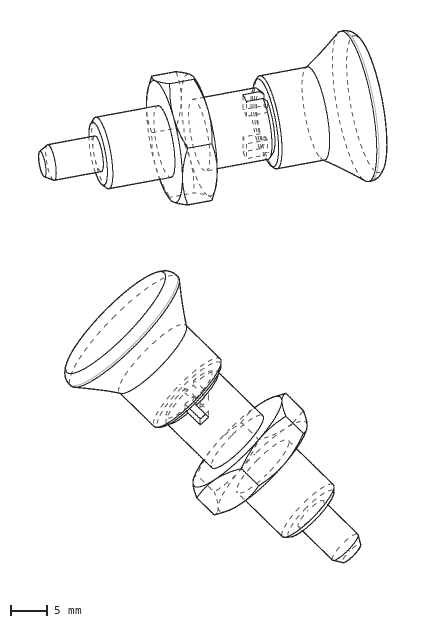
import cadquery as cq
import math


KNOB_DIAMETER = 21.0
KNOB_LENGTH = 14.5
RIM_ROUND_LENGTH = 1.45
RIM_ROUND_DROP = 0.95
RIM_END = 1.75
FLARE_END = 7.3
FLARE_SAGITTA = 0.08
COLLAR_DIAMETER = 13.0
COLLAR_CHAMFER = 0.38

SLEEVE_DIAMETER = 10.0
SLEEVE_LENGTH = 24.0
SLEEVE_CHAMFER = 0.6

SLOT_WIDTH = 1.6
SLOT_LENGTH = 3.0

PIN_DIAMETER = 5.0
PIN_PROJECTION = 8.0
PIN_TIP_LENGTH = 1.25
PIN_TIP_ANGLE = 30.0

NUT_SIDES = 6
NUT_ACROSS_FLATS = 17.0
NUT_THICKNESS = 5.0
NUT_START = 24.0
NUT_CHAMFER_ANGLE = 30.0

SLEEVE_END = KNOB_LENGTH + SLEEVE_LENGTH
PIN_END = SLEEVE_END + PIN_PROJECTION
HALF_SECTOR = 180.0 / NUT_SIDES
NUT_ACROSS_CORNERS = NUT_ACROSS_FLATS / math.cos(math.radians(HALF_SECTOR))


def revolve_about_y(profile):
    """Revolve a closed (radius, y) profile a full turn about the Y axis."""
    return profile.revolve(360, (0, 0, 0), (0, 1, 0))


def make_rod(diameter, start, end):
    """Cylinder on the Y axis between two axial positions."""
    plane = cq.Workplane("XZ", origin=(0, -start, 0))
    return plane.circle(diameter / 2).extrude(end - start)


def make_knob():
    """Knob with a rounded rim, a flared neck and a chamfered cylindrical collar."""
    rim_radius = KNOB_DIAMETER / 2
    collar_radius = COLLAR_DIAMETER / 2
    round_radius = (RIM_ROUND_LENGTH**2 + RIM_ROUND_DROP**2) / (2 * RIM_ROUND_DROP)
    flare_length = FLARE_END - RIM_END
    flare_drop = rim_radius - collar_radius
    flare_slant = math.hypot(flare_length, flare_drop)
    flare_middle = (
        (rim_radius + collar_radius) / 2 - FLARE_SAGITTA * flare_length / flare_slant,
        -(RIM_END + FLARE_END) / 2 + FLARE_SAGITTA * flare_drop / flare_slant,
    )
    profile = (
        cq.Workplane("XY")
        .lineTo(rim_radius - RIM_ROUND_DROP, 0)
        .radiusArc((rim_radius, -RIM_ROUND_LENGTH), round_radius)
        .lineTo(rim_radius, -RIM_END)
        .threePointArc(flare_middle, (collar_radius, -FLARE_END))
        .lineTo(collar_radius, -KNOB_LENGTH + COLLAR_CHAMFER)
        .lineTo(collar_radius - COLLAR_CHAMFER, -KNOB_LENGTH)
        .lineTo(0, -KNOB_LENGTH)
        .close()
    )
    return revolve_about_y(profile)


def make_sleeve():
    """Chamfered sleeve with two opposite slots, at +Z and -Z, at its knob end."""
    sleeve = make_rod(SLEEVE_DIAMETER, KNOB_LENGTH, SLEEVE_END)
    sleeve = sleeve.faces("<Y or >Y").chamfer(SLEEVE_CHAMFER)
    slot = cq.Workplane("XY").box(SLOT_WIDTH, SLOT_LENGTH, SLEEVE_DIAMETER)
    slot = slot.translate((0, -KNOB_LENGTH - SLOT_LENGTH / 2, 0))
    return sleeve.cut(slot)


def make_pin():
    """Pin through the sleeve, ending in a conical tip."""
    radius = PIN_DIAMETER / 2
    tip_radius = radius - PIN_TIP_LENGTH * math.tan(math.radians(PIN_TIP_ANGLE))
    profile = (
        cq.Workplane("XY")
        .moveTo(0, -KNOB_LENGTH)
        .lineTo(radius, -KNOB_LENGTH)
        .lineTo(radius, -PIN_END + PIN_TIP_LENGTH)
        .lineTo(tip_radius, -PIN_END)
        .lineTo(0, -PIN_END)
        .close()
    )
    return revolve_about_y(profile)


def make_nut():
    """Hexagon nut with corners at +Z and -Z, chamfered conically on both faces."""
    plane = cq.Workplane("XZ", origin=(0, -NUT_START, 0))
    hexagon = plane.polygon(NUT_SIDES, NUT_ACROSS_CORNERS).extrude(NUT_THICKNESS)
    hexagon = hexagon.rotate((0, 0, 0), (0, 1, 0), HALF_SECTOR)

    face_radius = NUT_ACROSS_FLATS / 2
    corner_radius = NUT_ACROSS_CORNERS / 2
    chamfer_depth = (corner_radius - face_radius) * math.tan(math.radians(NUT_CHAMFER_ANGLE))
    half_thickness = NUT_THICKNESS / 2
    profile = (
        cq.Workplane("XY")
        .moveTo(0, half_thickness)
        .lineTo(face_radius, half_thickness)
        .lineTo(corner_radius, half_thickness - chamfer_depth)
        .lineTo(corner_radius, -half_thickness + chamfer_depth)
        .lineTo(face_radius, -half_thickness)
        .lineTo(0, -half_thickness)
        .close()
    )
    middle = (0, -NUT_START - half_thickness, 0)
    return hexagon.intersect(revolve_about_y(profile).translate(middle))


result = make_knob().union(make_sleeve()).union(make_pin()).union(make_nut())